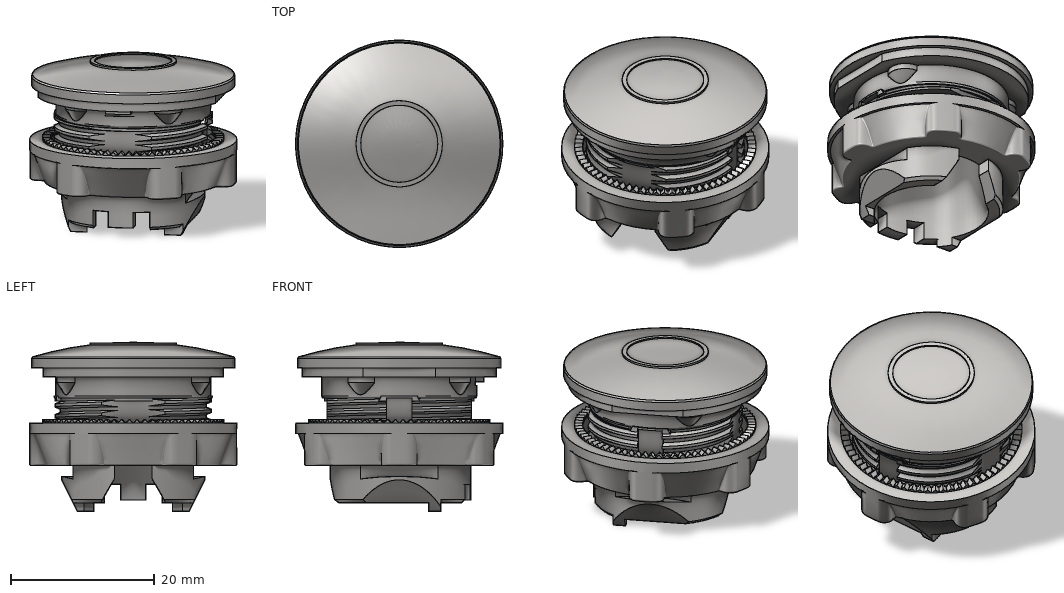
import cadquery as cq
import math

GASKET_TOP = 1.28
RIM_TOP = 2.54
DOME_EDGE_Z = 2.81
APEX_Z = 4.86
RING_TOP = 4.75
BODY_BOTTOM = -2.65
BODY_TAPER_BOTTOM = -2.94
COLLAR_BOTTOM = -3.4
NUT_TOP = -6.47
FLANGE_BOTTOM = -7.94
NUT_BOTTOM = -12.41
SKIRT_BOTTOM = -17.6
TAB_BOTTOM = -18.81

RIM_RADIUS = 14.23
DOME_EDGE_RADIUS = 14.1
DOME_RADIUS = (DOME_EDGE_RADIUS**2 + (APEX_Z - DOME_EDGE_Z) ** 2) / (2 * (APEX_Z - DOME_EDGE_Z))
RING_OUTER = 6.03
RING_INNER = 5.39
GASKET_RADIUS = 13.58
GASKET_FLAT = 12.6

BODY_RADIUS = 10.85
BODY_TAPER = 0.1
COLLAR_RADIUS = 10.49
BOSS_ANGLES = (38, 120, 240, 322)
BOSS_OFFSET = 9.5
BOSS_RADIUS = 2.45
BOSS_BASE_BOTTOM = -0.8
BOSS_CONE_BOTTOM = -2.5
KEY_RADIUS = 11.9
KEY_INNER_X = 9.0
KEY_HEIGHT = 0.7
KEY_WIDTH = 3.5
KEY_RELIEF_X = 10.65
KEY_RELIEF_DEPTH = 1.2
KEY_RELIEF_WIDTH = 4.2

THREAD_RADIUS = 11.06
ROOT_RADIUS = 10.37
THREAD_PITCH = 1.5
THREAD_HALF_TURNS = 8
THREAD_BASE_WIDTH = 1.0
THREAD_CREST_WIDTH = 0.4
THREAD_START_Z = -8.875
THREAD_EMBED = 0.2
BARREL_FLAT = 10.13
SLOT_WIDTH = 3.54
PAD_TOP_X = 2.5
PAD_BOTTOM_X = 2.9

NUT_RADIUS = 14.5
CONE_TOP_RADIUS = 14.1
CONE_BOTTOM_RADIUS = 12.44
LOBE_COUNT = 6
LOBE_WIDTH = 5.0
LOBE_CORNER = 1.48
LOBE_ROOT_FILLET = 0.2
NUT_EDGE_FILLET = 0.25
TOOTH_COUNT = 72
TOOTH_HEIGHT = 0.53
TOOTH_OUTER = 12.68
TOOTH_INNER = 11.55
TOOTH_GAP = 0.03
NUT_RECESS_RADIUS = 11.5
NUT_RECESS_DEPTH = 2.4

SKIRT_RADIUS = 10.02
BORE_RADIUS = 8.0
BORE_TOP = 0.0
SKIRT_CHAMFER = 0.43
RECESS_FLAT = 8.45
RECESS_HALF_WIDTH = 6.0
LEDGE_CREST_Z = -13.92
LEDGE_RADIUS = 42.0
RAMP_TOP_Z = -14.4
RAMP_BOTTOM_Y = 7.82
RAMP_OVERRUN = 1.0
SPLIT_HALF_WIDTH = 2.6
SPLIT_FLARE_Z = -14.18
SPLIT_FLARE_HALF_WIDTH = 4.55
WINDOW_HALF_WIDTH = 4.03
WINDOW_TOP = -15.02
TONGUE_BOTTOM = -17.23
TAB_INNER_X = 4.11
TAB_OUTER_X = 5.82

REACH = 40.0


def cylinder(radius, bottom, top):
    return cq.Workplane("XY").workplane(offset=bottom).circle(radius).extrude(top - bottom)


def block(x_range, y_range, z_range):
    size = [high - low for low, high in (x_range, y_range, z_range)]
    corner = (x_range[0], y_range[0], z_range[0])
    return cq.Workplane("XY").box(*size, centered=False).translate(corner)


def both_sides(shape):
    """The shape together with its mirror image in Y."""
    return shape.union(shape.mirror("XZ"))


def make_head():
    """Domed cap with a raised ring, on a gasket with two flats."""

    def dome_z(radius):
        return APEX_Z - DOME_RADIUS + math.sqrt(DOME_RADIUS**2 - radius**2)

    middle = DOME_EDGE_RADIUS / 2
    dome = (
        cq.Workplane("XZ")
        .moveTo(0, GASKET_TOP)
        .lineTo(RIM_RADIUS, GASKET_TOP)
        .lineTo(RIM_RADIUS, RIM_TOP)
        .lineTo(DOME_EDGE_RADIUS, DOME_EDGE_Z)
        .threePointArc((middle, dome_z(middle)), (0, APEX_Z))
        .close()
        .revolve(360, (0, 0, 0), (0, 1, 0))
    )
    ring = cylinder(RING_OUTER, RIM_TOP, RING_TOP).cut(cylinder(RING_INNER, RIM_TOP, RING_TOP))
    flats = block((-REACH, REACH), (-GASKET_FLAT, GASKET_FLAT), (0, GASKET_TOP))
    gasket = cylinder(GASKET_RADIUS, 0, GASKET_TOP).intersect(flats)
    return dome.union(ring).union(gasket)


def make_neck():
    """Plain neck with its collar, locating key and centring bosses."""
    neck = (
        cq.Workplane("XZ")
        .moveTo(0, 0)
        .lineTo(BODY_RADIUS, 0)
        .lineTo(BODY_RADIUS, BODY_BOTTOM)
        .lineTo(BODY_RADIUS - BODY_TAPER, BODY_TAPER_BOTTOM)
        .lineTo(COLLAR_RADIUS, BODY_TAPER_BOTTOM)
        .lineTo(COLLAR_RADIUS, COLLAR_BOTTOM)
        .lineTo(0, COLLAR_BOTTOM)
        .close()
        .revolve(360, (0, 0, 0), (0, 1, 0))
    )
    half_relief = KEY_RELIEF_WIDTH / 2
    neck = neck.cut(block((KEY_RELIEF_X, REACH), (-half_relief, half_relief), (-KEY_RELIEF_DEPTH, 0)))
    half_key = KEY_WIDTH / 2
    key = cylinder(KEY_RADIUS, -KEY_HEIGHT, 0).intersect(
        block((KEY_INNER_X, REACH), (-half_key, half_key), (-KEY_HEIGHT, 0))
    )
    neck = neck.union(key)
    for angle in BOSS_ANGLES:
        neck = neck.union(make_boss().rotate((0, 0, 0), (0, 0, 1), angle))
    return neck


def make_boss():
    """Centring boss whose cone runs out on the neck surface."""
    cone_end_radius = BODY_RADIUS - BOSS_OFFSET
    boss = (
        cq.Workplane("XZ")
        .moveTo(0, 0)
        .lineTo(BOSS_RADIUS, 0)
        .lineTo(BOSS_RADIUS, BOSS_BASE_BOTTOM)
        .lineTo(cone_end_radius, BOSS_CONE_BOTTOM)
        .lineTo(0, BOSS_CONE_BOTTOM)
        .close()
        .revolve(360, (0, 0, 0), (0, 1, 0))
    )
    return boss.translate((BOSS_OFFSET, 0, 0))


def thread_half_turn():
    """Half a turn of the helical ridge, on the +Y side, sunk a little into the root cylinder."""
    flank_slope = (THREAD_BASE_WIDTH - THREAD_CREST_WIDTH) / 2 / (THREAD_RADIUS - ROOT_RADIUS)
    crest = THREAD_CREST_WIDTH / 2
    sunk_base = THREAD_BASE_WIDTH / 2 + flank_slope * THREAD_EMBED
    sunk_radius = ROOT_RADIUS - THREAD_EMBED
    helix = cq.Wire.makeHelix(THREAD_PITCH, THREAD_PITCH / 2, ROOT_RADIUS)
    return (
        cq.Workplane("XZ")
        .polyline([
            (sunk_radius, -sunk_base),
            (THREAD_RADIUS, -crest),
            (THREAD_RADIUS, crest),
            (sunk_radius, sunk_base),
        ])
        .close()
        .sweep(cq.Workplane(helix), isFrenet=True)
    )


def make_barrel():
    """Threaded barrel with a flat on each X side that also cuts the thread."""
    z_range = (NUT_TOP - NUT_RECESS_DEPTH, BODY_TAPER_BOTTOM)
    limits = block((-BARREL_FLAT, BARREL_FLAT), (-REACH, REACH), z_range)
    barrel = cylinder(ROOT_RADIUS, *z_range).intersect(limits)
    half_turn = thread_half_turn()
    for index in range(THREAD_HALF_TURNS):
        ridge_z = THREAD_START_Z + index * THREAD_PITCH / 2
        ridge = half_turn.rotate((0, 0, 0), (0, 0, 1), index * 180).translate((0, 0, ridge_z))
        barrel = barrel.union(ridge.intersect(limits))
    pad = (
        cq.Workplane("XZ")
        .polyline([
            (-PAD_BOTTOM_X, COLLAR_BOTTOM),
            (-PAD_TOP_X, BODY_BOTTOM),
            (PAD_TOP_X, BODY_BOTTOM),
            (PAD_BOTTOM_X, COLLAR_BOTTOM),
        ])
        .close()
        .extrude(REACH, both=True)
        .intersect(cylinder(THREAD_RADIUS, COLLAR_BOTTOM, BODY_BOTTOM))
    )
    return barrel.union(pad)


def slots():
    """Flat-bottomed slots down the two Y sides of the barrel."""
    half = SLOT_WIDTH / 2
    z_range = (NUT_TOP - NUT_RECESS_DEPTH, BODY_TAPER_BOTTOM)
    return both_sides(block((-half, half), (BARREL_FLAT, REACH), z_range))


def make_nut():
    """Flanged nut with a conical grip, rounded lobes and a recess around the barrel."""
    grip = (
        cq.Workplane("XZ")
        .moveTo(0, FLANGE_BOTTOM)
        .lineTo(CONE_TOP_RADIUS, FLANGE_BOTTOM)
        .lineTo(CONE_BOTTOM_RADIUS, NUT_BOTTOM)
        .lineTo(0, NUT_BOTTOM)
        .close()
        .revolve(360, (0, 0, 0), (0, 1, 0))
    )
    half = LOBE_WIDTH / 2
    lobe = (
        block((BORE_RADIUS, REACH), (-half, half), (NUT_BOTTOM, FLANGE_BOTTOM))
        .intersect(cylinder(NUT_RADIUS, NUT_BOTTOM, FLANGE_BOTTOM))
        .edges("|Z")
        .edges(">X")
        .fillet(LOBE_CORNER)
    )
    for index in range(LOBE_COUNT):
        angle = 90 + index * 360 / LOBE_COUNT
        grip = grip.union(lobe.rotate((0, 0, 0), (0, 0, 1), angle))
    junctions = grip.edges("not(%LINE or %CIRCLE)")
    grip = junctions.fillet(LOBE_ROOT_FILLET)
    grip = grip.faces("<Z").edges().fillet(NUT_EDGE_FILLET)
    nut = grip.union(cylinder(NUT_RADIUS, FLANGE_BOTTOM, NUT_TOP))
    return nut.cut(cylinder(NUT_RECESS_RADIUS, NUT_TOP - NUT_RECESS_DEPTH, NUT_TOP))


def make_teeth():
    """Solids of the crown of radial gripping teeth, triangular in section."""
    step = 360 / TOOTH_COUNT
    sections = []
    for radius in (TOOTH_INNER, TOOTH_OUTER):
        half_width = radius * math.tan(math.radians(step / 2)) - TOOTH_GAP / 2
        corners = [
            cq.Vector(radius, -half_width, NUT_TOP),
            cq.Vector(radius, half_width, NUT_TOP),
            cq.Vector(radius, 0, NUT_TOP + TOOTH_HEIGHT),
        ]
        sections.append(cq.Wire.makePolygon(corners, close=True))
    tooth = cq.Solid.makeLoft(sections, True)
    axis_ends = (cq.Vector(0, 0, 0), cq.Vector(0, 0, 1))
    return [tooth.rotate(*axis_ends, (index + 0.5) * step) for index in range(TOOTH_COUNT)]


def clip_ramps():
    """Wedges outside the sloping lead-in faces of the two clips."""
    slope = (SKIRT_RADIUS - RAMP_BOTTOM_Y) / (RAMP_TOP_Z - TAB_BOTTOM)
    low_z = TAB_BOTTOM - RAMP_OVERRUN
    wedge = (
        cq.Workplane("YZ")
        .polyline([
            (SKIRT_RADIUS, RAMP_TOP_Z),
            (SKIRT_RADIUS - slope * (RAMP_TOP_Z - low_z), low_z),
            (REACH, low_z),
            (REACH, RAMP_TOP_Z),
        ])
        .close()
        .extrude(REACH, both=True)
    )
    return both_sides(wedge)


def clip_recesses():
    """Flat recesses above the clips, each ending on a gently arched ledge."""
    ledge_end_z = LEDGE_CREST_Z - LEDGE_RADIUS + math.sqrt(LEDGE_RADIUS**2 - RECESS_HALF_WIDTH**2)
    recess = (
        cq.Workplane("XZ", origin=(0, RECESS_FLAT, 0))
        .moveTo(-RECESS_HALF_WIDTH, NUT_BOTTOM)
        .lineTo(-RECESS_HALF_WIDTH, ledge_end_z)
        .threePointArc((0, LEDGE_CREST_Z), (RECESS_HALF_WIDTH, ledge_end_z))
        .lineTo(RECESS_HALF_WIDTH, NUT_BOTTOM)
        .close()
        .extrude(-REACH)
    )
    return both_sides(recess)


def skirt_split():
    """Flared gap through the -X wall of the skirt."""
    return (
        cq.Workplane("YZ")
        .polyline([
            (-SPLIT_HALF_WIDTH, NUT_BOTTOM),
            (-SPLIT_HALF_WIDTH, SPLIT_FLARE_Z),
            (-SPLIT_FLARE_HALF_WIDTH, SKIRT_BOTTOM),
            (SPLIT_FLARE_HALF_WIDTH, SKIRT_BOTTOM),
            (SPLIT_HALF_WIDTH, SPLIT_FLARE_Z),
            (SPLIT_HALF_WIDTH, NUT_BOTTOM),
        ])
        .close()
        .extrude(-REACH)
    )


def make_skirt():
    """Snap skirt with two clips, a split, a window with its tongue and two end tabs."""
    skirt = cylinder(SKIRT_RADIUS, SKIRT_BOTTOM, NUT_BOTTOM).faces("<Z").edges().chamfer(SKIRT_CHAMFER)
    skirt = skirt.cut(skirt_split())
    window = (-WINDOW_HALF_WIDTH, WINDOW_HALF_WIDTH)
    skirt = skirt.cut(block((0, REACH), window, (SKIRT_BOTTOM, WINDOW_TOP)))

    half_tongue = SLOT_WIDTH / 2
    tongue_block = block((0, REACH), (-half_tongue, half_tongue), (TONGUE_BOTTOM, WINDOW_TOP))
    skirt = skirt.union(cylinder(SKIRT_RADIUS, TONGUE_BOTTOM, WINDOW_TOP).intersect(tongue_block))

    tab_top = SKIRT_BOTTOM + SKIRT_CHAMFER
    tab_block = both_sides(block((TAB_INNER_X, TAB_OUTER_X), (0, REACH), (TAB_BOTTOM, tab_top)))
    skirt = skirt.union(cylinder(SKIRT_RADIUS, TAB_BOTTOM, tab_top).intersect(tab_block))
    return skirt.cut(clip_ramps()).cut(clip_recesses())


upper_part = make_head().union(make_neck().union(make_barrel()).cut(slots()))
lower_part = make_nut().union(make_skirt())
bore = cylinder(BORE_RADIUS, TAB_BOTTOM, BORE_TOP)
nut_with_teeth = cq.Workplane(lower_part.cut(bore).val().fuse(*make_teeth()))
result = upper_part.cut(bore).union(nut_with_teeth)